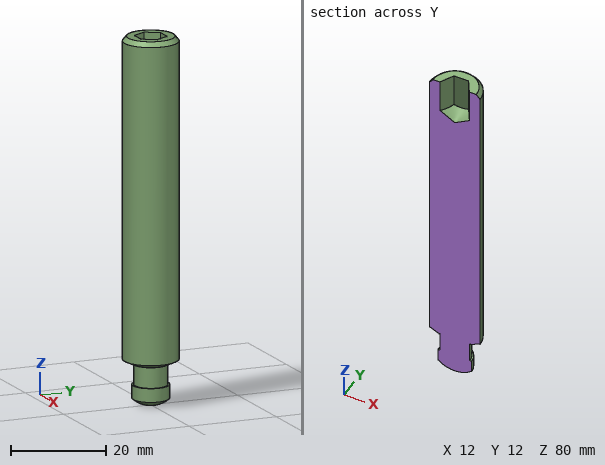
import cadquery as cq
import math

total_length = 80.0
body_diameter = 12.0

top_chamfer_height = 1.0
top_chamfer_width = 0.9
shoulder_height = 1.0
shoulder_end_diameter = 7.5

nose_length = 10.0
neck_diameter = 7.2
head_diameter = 8.0
head_top = 4.5
dome_radius = 6.0

hex_across_flats = 6.0
socket_depth = 8.0
floor_cone_angle = 120.0


def make_pin():
    """Revolve the half profile of the body, neck and domed head about Z."""
    body_radius = body_diameter / 2
    neck_radius = neck_diameter / 2
    head_radius = head_diameter / 2
    shoulder_bottom = nose_length - shoulder_height

    dome_height = dome_radius - math.sqrt(dome_radius**2 - head_radius**2)
    half_arc = math.asin(head_radius / dome_radius) / 2
    dome_middle = (dome_radius * math.sin(half_arc), dome_radius * (1 - math.cos(half_arc)))

    return (
        cq.Workplane("XZ")
        .moveTo(0, 0)
        .threePointArc(dome_middle, (head_radius, dome_height))
        .lineTo(head_radius, head_top)
        .lineTo(neck_radius, head_top)
        .lineTo(neck_radius, shoulder_bottom)
        .lineTo(shoulder_end_diameter / 2, shoulder_bottom)
        .lineTo(body_radius, nose_length)
        .lineTo(body_radius, total_length - top_chamfer_height)
        .lineTo(body_radius - top_chamfer_width, total_length)
        .lineTo(0, total_length)
        .close()
        .revolve(360, (0, 0), (0, 1))
    )


def make_socket():
    """Hexagonal recess, corners on X, ending in a drill-point cone."""
    corner_radius = hex_across_flats / math.sqrt(3)
    cone_height = corner_radius / math.tan(math.radians(floor_cone_angle / 2))
    floor_rim = total_length - socket_depth

    hexagon = (
        cq.Workplane("XY", origin=(0, 0, floor_rim - cone_height))
        .polygon(6, 2 * corner_radius)
        .extrude(socket_depth + cone_height)
    )
    drill_point = (
        cq.Workplane("XZ")
        .moveTo(0, floor_rim - cone_height)
        .lineTo(2 * corner_radius, floor_rim + cone_height)
        .lineTo(2 * corner_radius, total_length)
        .lineTo(0, total_length)
        .close()
        .revolve(360, (0, 0), (0, 1))
    )
    return hexagon.intersect(drill_point)


result = make_pin().cut(make_socket())